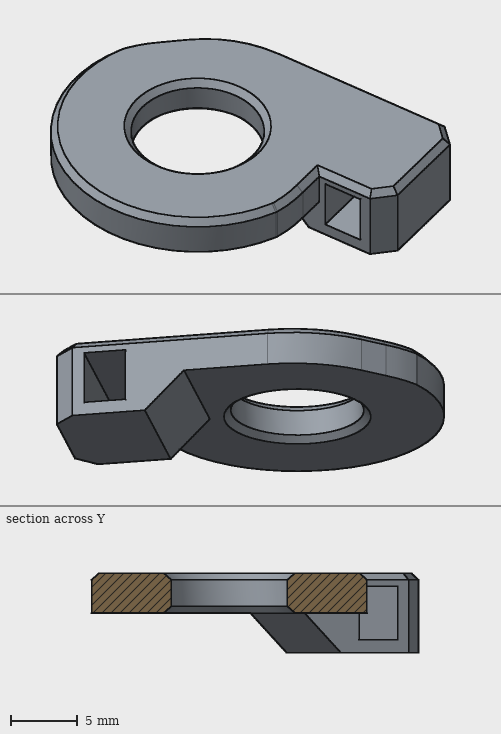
import cadquery as cq
import math

RING_RADIUS = 11.0
HOLE_RADIUS = 5.0
PLATE_THICKNESS = 3.0
EDGE_CHAMFER = 0.5

TAIL_ANGLE = 24.0
TAIL_END = 16.55
TAIL_NEAR_SIDE = 0.78
TAIL_WIDTH = 10.0
TAIL_FAR_SIDE = TAIL_NEAR_SIDE + TAIL_WIDTH
TAIL_CORNER = 1.48

FLAT_DISTANCE = 10.47
FLAT_START = -1.45
SHOULDER_RADIUS = 10.0
RING_END_Y = 0.15

FOOT_DEPTH = PLATE_THICKNESS
FOOT_START = 9.53

SLOT_START = 11.0
SLOT_LENGTH = 3.15
SLOT_WALL = 1.0

COS = math.cos(math.radians(TAIL_ANGLE))
SIN = math.sin(math.radians(TAIL_ANGLE))


def turned(u, v):
    """Point given along and across the tail."""
    return (u * COS - v * SIN, u * SIN + v * COS)


def mirrored(point):
    """Point reflected to the opposite side of the ring."""
    return (-point[0], point[1])


def tail_frame(solid):
    """Turn a solid built along X into the tail direction."""
    return solid.rotate((0, 0, 0), (0, 0, 1), TAIL_ANGLE)


def make_plate():
    ring_end = (RING_RADIUS, RING_END_Y)
    flat_start = turned(FLAT_DISTANCE, FLAT_START)

    center_v = TAIL_FAR_SIDE - SHOULDER_RADIUS
    center_offset = FLAT_DISTANCE - SHOULDER_RADIUS
    double_angle = math.radians(2 * TAIL_ANGLE)
    center_u = (center_v * math.sin(double_angle) - center_offset) / math.cos(double_angle)
    center = turned(center_u, center_v)
    flat_end = (center[0] - SHOULDER_RADIUS * COS, center[1] + SHOULDER_RADIUS * SIN)

    outline = (
        cq.Workplane("XY")
        .moveTo(RING_RADIUS, 0)
        .lineTo(*ring_end)
        .radiusArc(flat_start, -SHOULDER_RADIUS)
        .lineTo(*turned(FLAT_DISTANCE, TAIL_NEAR_SIDE))
        .lineTo(*turned(TAIL_END - TAIL_CORNER, TAIL_NEAR_SIDE))
        .lineTo(*turned(TAIL_END, TAIL_NEAR_SIDE + TAIL_CORNER))
        .lineTo(*turned(TAIL_END, TAIL_FAR_SIDE - TAIL_CORNER))
        .lineTo(*turned(TAIL_END - TAIL_CORNER, TAIL_FAR_SIDE))
        .lineTo(*turned(center_u, TAIL_FAR_SIDE))
        .radiusArc(flat_end, -SHOULDER_RADIUS)
        .lineTo(*mirrored(flat_start))
        .radiusArc(mirrored(ring_end), -SHOULDER_RADIUS)
        .lineTo(-RING_RADIUS, 0)
        .threePointArc((0, -RING_RADIUS), (RING_RADIUS, 0))
        .close()
    )
    plate = outline.extrude(PLATE_THICKNESS)
    hole = cq.Workplane("XY").circle(HOLE_RADIUS).extrude(PLATE_THICKNESS)
    plate = plate.cut(hole).faces(">Z").chamfer(EDGE_CHAMFER)
    hole_rim = plate.faces("<Z").edges(cq.selectors.RadiusNthSelector(0))
    return hole_rim.chamfer(EDGE_CHAMFER)


def make_foot():
    foot = (
        cq.Workplane("XZ", origin=(0, TAIL_NEAR_SIDE, 0))
        .moveTo(FOOT_START - FOOT_DEPTH, 0)
        .lineTo(FOOT_START, -FOOT_DEPTH)
        .lineTo(TAIL_END, -FOOT_DEPTH)
        .lineTo(TAIL_END, 0)
        .close()
        .extrude(-TAIL_WIDTH)
        .edges("|Z and >X")
        .chamfer(TAIL_CORNER)
    )
    return tail_frame(foot)


def make_slot():
    height = PLATE_THICKNESS + FOOT_DEPTH - 2 * SLOT_WALL
    corner = (SLOT_START, TAIL_NEAR_SIDE, SLOT_WALL - FOOT_DEPTH)
    slot = cq.Workplane("XY").box(SLOT_LENGTH, TAIL_WIDTH, height, centered=False)
    return tail_frame(slot.translate(corner))


result = make_plate().union(make_foot()).cut(make_slot())